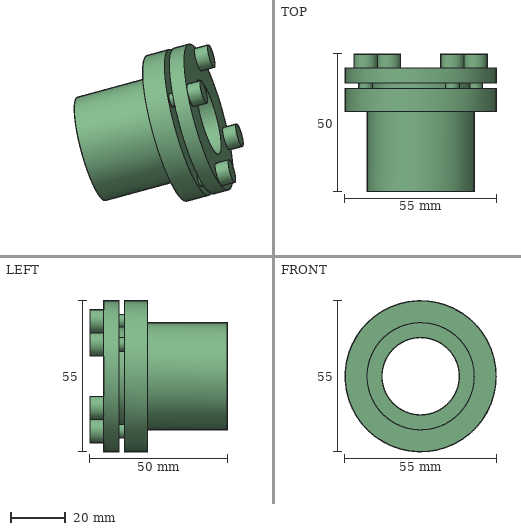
import cadquery as cq

flange_diameter = 55.0
tube_diameter = 39.0
bore_diameter = 28.05
spigot_diameter = 35.75

tube_length = 29.05
flange_thickness = 8.4
gap = 1.9
plate_thickness = 5.6

bolt_count = 4
bolt_circle_diameter = 46.2
first_bolt_angle = 60.0
shank_diameter = 5.05
head_diameter = 8.5
head_height = 5.0

flange_front = tube_length
flange_back = flange_front + flange_thickness
plate_front = flange_back + gap
plate_back = plate_front + plate_thickness


def section_at(y):
    """Workplane facing -Y, with local x along +X and local y along +Z."""
    plane = cq.Plane(origin=(0, y, 0), xDir=(1, 0, 0), normal=(0, -1, 0))
    return cq.Workplane(plane)


def disc(diameter, start, end):
    return section_at(start).circle(diameter / 2).extrude(start - end)


def bolt_cylinders(diameter, start, end):
    """One cylinder at every bolt position."""
    return (
        section_at(start)
        .polarArray(bolt_circle_diameter / 2, first_bolt_angle, 360, bolt_count)
        .circle(diameter / 2)
        .extrude(start - end)
    )


body = disc(tube_diameter, 0, flange_front)
body = body.union(disc(flange_diameter, flange_front, flange_back))
body = body.union(disc(spigot_diameter, flange_back, plate_front))
body = body.union(disc(flange_diameter, plate_front, plate_back))

body = body.union(bolt_cylinders(shank_diameter, flange_back, plate_front))
body = body.union(bolt_cylinders(head_diameter, plate_back, plate_back + head_height))

result = body.cut(disc(bore_diameter, 0, plate_back))